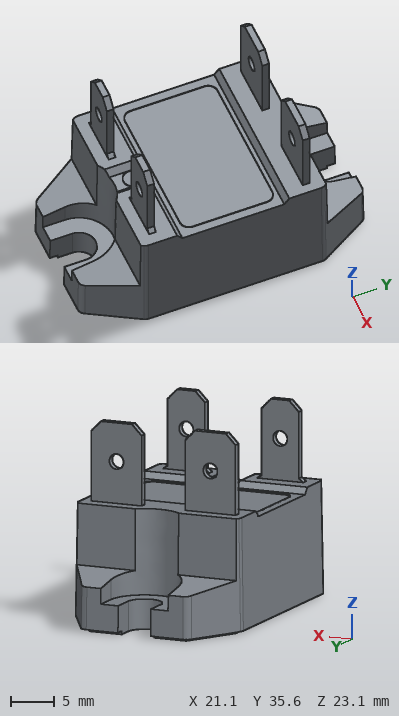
import cadquery as cq

import math

LENGTH = 35.6
WIDTH = 21.1
TOTAL_HEIGHT = 23.15

PLATE_THICKNESS = 0.4
PLATE_INSET = 1.0
HOUSING_TOP = 13.67
DRAFT = 1.0
EAR_TIP_HALF_WIDTH = 6.7
EAR_EDGE_ANGLE = 30.0
CORNER_RADIUS = 1.0

EAR_WALL_Y = 11.57
EAR_ROOT_Z = 6.45
EAR_TIP_Z = 5.38

SLOT_CENTER_Y = 15.03
SLOT_RADIUS = 2.05
WELL_RADIUS = 4.25
WELL_FLOOR_Z = 3.55

SUNK_DEPTH = 0.75
SUNK_FRONT_Y = -6.5
SUNK_REAR_Y = 6.2
SUNK_FLANK = 0.65
CHANNEL_HALF_WIDTH = 1.15

MARK_DEPTH = 0.1
LABEL_WIDTH = 18.4
LABEL_FRONT_Y = -5.88
LABEL_REAR_Y = 5.65
LABEL_RADIUS = 1.15
DOT_Y = -8.37
DOT_RADIUS = 1.15

BLADE_X = 5.95
BLADE_THICKNESS = 0.85
BLADE_CHAMFER = 1.2
BLADE_HOLE_Z = 18.6
BLADE_HOLE_RADIUS = 0.9
REAR_BLADE_Y = 9.45
REAR_BLADE_WIDTH = 6.37
FRONT_BLADE_Y = -9.6
FRONT_BLADE_WIDTH = 4.75
FRONT_FOOT_WIDTH = 5.85
FOOT_HEIGHT = 0.43

SUNK_FLOOR_Z = HOUSING_TOP - SUNK_DEPTH
OVERCUT = 1.78
EMBED = 0.35


def octagon_outline(z):
    """Sharp-cornered plan outline of the housing on a plane at height z."""
    half_width = WIDTH / 2
    half_length = LENGTH / 2
    ear_run = (half_width - EAR_TIP_HALF_WIDTH) / math.tan(math.radians(EAR_EDGE_ANGLE))
    shoulder_y = half_length - ear_run
    corners = [
        (half_width, -shoulder_y),
        (half_width, shoulder_y),
        (EAR_TIP_HALF_WIDTH, half_length),
        (-EAR_TIP_HALF_WIDTH, half_length),
        (-half_width, shoulder_y),
        (-half_width, -shoulder_y),
        (-EAR_TIP_HALF_WIDTH, -half_length),
        (EAR_TIP_HALF_WIDTH, -half_length),
    ]
    return cq.Workplane("XY").workplane(offset=z).polyline(corners).close()


def base_plate():
    return octagon_outline(0).offset2D(-PLATE_INSET).extrude(PLATE_THICKNESS)


def drafted_housing():
    height = HOUSING_TOP - PLATE_THICKNESS
    block = octagon_outline(PLATE_THICKNESS).extrude(height, taper=DRAFT)
    return block.edges("not #Z").fillet(CORNER_RADIUS)


def above_ear():
    """Space over the rear ear: outside the end wall and above the sloping ear top."""
    half_length = LENGTH / 2
    wall_drift = (HOUSING_TOP - EAR_ROOT_Z) * math.tan(math.radians(DRAFT))
    root_y = EAR_WALL_Y + wall_drift
    slope = (EAR_TIP_Z - EAR_ROOT_Z) / (half_length - root_y)
    profile = [
        (root_y, EAR_ROOT_Z),
        (half_length + OVERCUT, EAR_TIP_Z + slope * OVERCUT),
        (half_length + OVERCUT, HOUSING_TOP),
        (EAR_WALL_Y, HOUSING_TOP),
    ]
    return cq.Workplane("YZ").polyline(profile).close().extrude(WIDTH / 2, both=True)


def open_slot(radius, z, height, draft=0.0):
    """Round-ended slot running out through the rear end, widening upward by the draft."""
    outer_y = LENGTH / 2 + OVERCUT
    return (
        cq.Workplane("XY").workplane(offset=z)
        .moveTo(radius, outer_y)
        .lineTo(radius, SLOT_CENTER_Y)
        .threePointArc((0, SLOT_CENTER_Y - radius), (-radius, SLOT_CENTER_Y))
        .lineTo(-radius, outer_y)
        .close()
        .extrude(height, taper=-draft)
    )


def ear_cutter():
    well = open_slot(WELL_RADIUS, WELL_FLOOR_Z, HOUSING_TOP - WELL_FLOOR_Z, DRAFT)
    slot = open_slot(SLOT_RADIUS, 0, HOUSING_TOP)
    return above_ear().union(well).union(slot)


def sunken_top():
    profile = [
        (SUNK_FRONT_Y, SUNK_FLOOR_Z),
        (SUNK_REAR_Y, SUNK_FLOOR_Z),
        (SUNK_REAR_Y + SUNK_FLANK, HOUSING_TOP),
        (SUNK_FRONT_Y - SUNK_FLANK, HOUSING_TOP),
    ]
    return cq.Workplane("YZ").polyline(profile).close().extrude(WIDTH / 2, both=True)


def channel():
    top_half_width = CHANNEL_HALF_WIDTH + SUNK_DEPTH
    profile = [
        (-CHANNEL_HALF_WIDTH, SUNK_FLOOR_Z),
        (CHANNEL_HALF_WIDTH, SUNK_FLOOR_Z),
        (top_half_width, HOUSING_TOP),
        (-top_half_width, HOUSING_TOP),
    ]
    return cq.Workplane("XZ").polyline(profile).close().extrude(SLOT_CENTER_Y)


def floor_marks():
    """Rounded label field and round dot, sunk slightly into the floor."""
    mark_plane = cq.Workplane("XY").workplane(offset=SUNK_FLOOR_Z - MARK_DEPTH)
    label = (
        mark_plane.center(0, (LABEL_FRONT_Y + LABEL_REAR_Y) / 2)
        .rect(LABEL_WIDTH, LABEL_REAR_Y - LABEL_FRONT_Y)
        .extrude(MARK_DEPTH)
        .edges("|Z").fillet(LABEL_RADIUS)
    )
    dot = mark_plane.center(0, DOT_Y).circle(DOT_RADIUS).extrude(MARK_DEPTH)
    return label.union(dot)


def blade(x, y, width, foot_width):
    """Flat terminal with chamfered top corners, a cross hole and a foot that may flare out."""
    half_tip = width / 2 - BLADE_CHAMFER
    right_side = [
        (foot_width / 2, HOUSING_TOP - EMBED),
        (foot_width / 2, HOUSING_TOP),
        (width / 2, HOUSING_TOP + FOOT_HEIGHT),
        (width / 2, TOTAL_HEIGHT - BLADE_CHAMFER),
        (half_tip, TOTAL_HEIGHT),
    ]
    left_side = [(-px, pz) for px, pz in reversed(right_side)]
    body = cq.Workplane("XZ").polyline(right_side + left_side).close().extrude(BLADE_THICKNESS)
    hole = (
        cq.Workplane("XZ").center(0, BLADE_HOLE_Z)
        .circle(BLADE_HOLE_RADIUS).extrude(BLADE_THICKNESS)
    )
    return body.cut(hole).translate((x, y + BLADE_THICKNESS / 2, 0))


rear_cutter = ear_cutter()
front_cutter = rear_cutter.mirror("XZ")

result = base_plate().union(drafted_housing()).cut(rear_cutter).cut(front_cutter)
result = result.cut(sunken_top()).cut(channel()).cut(floor_marks())

for blade_x in (-BLADE_X, BLADE_X):
    result = result.union(blade(blade_x, REAR_BLADE_Y, REAR_BLADE_WIDTH, REAR_BLADE_WIDTH))
    result = result.union(blade(blade_x, FRONT_BLADE_Y, FRONT_BLADE_WIDTH, FRONT_FOOT_WIDTH))